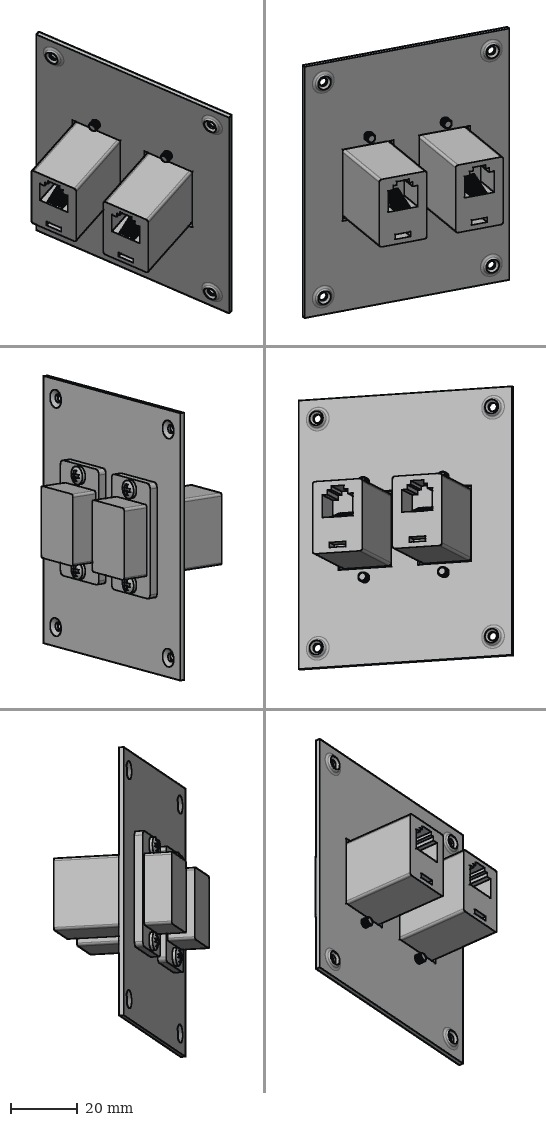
import cadquery as cq
import math


panel_width = 68.1
panel_height = 82.0
panel_thickness = 1.5
cutout_width = 17.0
cutout_height = 23.3

boss_x = 28.0
boss_z = 35.0
boss_height = 1.1
boss_rim_radius = 2.1
boss_foot_radius = 3.6
fillet_sweep = math.radians(45)
foot_fillet_radius = 1.2
boss_hole_radius = 1.3
boss_countersink_depth = 0.8
back_countersink_radius = 2.8
back_countersink_depth = 0.9

jack_pitch = 25.4
first_jack_x = -12.9
jack_centers_x = [first_jack_x, first_jack_x + jack_pitch]
jack_width = 15.8
jack_height = 22.1
jack_length = 36.8
jack_front_y = -24.2
jack_edge_radius = 0.8
flange_width = 19.1
flange_height = 35.45
flange_thickness = 2.6
flange_corner_radius = 1.5
flange_back_y = panel_thickness + flange_thickness

port_depth = 9.35
port_floor_z = -0.1
port_width = 9.8
port_shoulder_z = 6.8
port_neck_width = 6.4
port_neck_z = 8.2
port_latch_width = 4.1
port_top_z = 9.35

contact_count = 6
contact_pitch = 1.0
contact_width = 0.4
contact_height = 2.9
contact_setback = 0.65

slot_width = 5.2
slot_height = 1.55
slot_center_z = -8.6
slot_depth = 4.1

screw_pitch_z = 29.1
head_radius = 2.8
head_height = 2.05
head_rim_height = 1.1
recess_length = 3.3
recess_width = 1.0
recess_depth = 1.0
thread_radius = 1.435
thread_root_radius = 1.15
thread_pitch = 0.65
thread_half_pitches = 7


def bar(width, height, y_start, y_end):
    """Rectangular bar along Y, centred on the Y axis."""
    return cq.Workplane("XY").box(width, y_end - y_start, height).translate((0, (y_start + y_end) / 2, 0))


def rod(radius, y_start, y_end):
    """Round rod along Y, centred on the Y axis."""
    return cq.Workplane("XZ", origin=(0, y_end, 0)).circle(radius).extrude(y_end - y_start)


def turned(profile):
    """Turn a profile drawn as (radius, y) points about the Y axis."""
    return profile.close().revolve(360, (0, 0, 0), (0, 1, 0))


def make_boss():
    """Solid boss with a sloping flank that runs into the panel through a hollow fillet."""
    middle_angle = fillet_sweep / 2
    fillet_middle = (
        boss_foot_radius - foot_fillet_radius * math.sin(middle_angle),
        -foot_fillet_radius * (1 - math.cos(middle_angle)),
    )
    fillet_end = (
        boss_foot_radius - foot_fillet_radius * math.sin(fillet_sweep),
        -foot_fillet_radius * (1 - math.cos(fillet_sweep)),
    )
    profile = (
        cq.Workplane("XY")
        .moveTo(0, panel_thickness)
        .lineTo(boss_foot_radius, panel_thickness)
        .lineTo(boss_foot_radius, 0)
        .threePointArc(fillet_middle, fillet_end)
        .lineTo(boss_rim_radius, -boss_height)
        .lineTo(0, -boss_height)
    )
    return turned(profile)


def make_boss_hole():
    """Through hole that flares out to the rim of the boss and again to the back of the panel."""
    countersink_end_y = boss_countersink_depth - boss_height
    profile = (
        cq.Workplane("XY")
        .moveTo(0, -boss_height)
        .lineTo(boss_rim_radius, -boss_height)
        .lineTo(boss_hole_radius, countersink_end_y)
        .lineTo(boss_hole_radius, panel_thickness - back_countersink_depth)
        .lineTo(back_countersink_radius, panel_thickness)
        .lineTo(0, panel_thickness)
    )
    return turned(profile)


def make_panel():
    panel = bar(panel_width, panel_height, 0, panel_thickness)
    for x in (-boss_x, boss_x):
        for z in (-boss_z, boss_z):
            panel = panel.union(make_boss().translate((x, 0, z)))
            panel = panel.cut(make_boss_hole().translate((x, 0, z)))
    for x in jack_centers_x:
        panel = panel.cut(bar(cutout_width, cutout_height, 0, panel_thickness).translate((x, 0, 0)))
        for z in (-screw_pitch_z / 2, screw_pitch_z / 2):
            panel = panel.cut(rod(thread_radius, 0, panel_thickness).translate((x, 0, z)))
    return panel


def make_port():
    """Stepped plug opening, symmetric about the jack's centre plane."""
    right_half = [
        (port_width / 2, port_floor_z),
        (port_width / 2, port_shoulder_z),
        (port_neck_width / 2, port_shoulder_z),
        (port_neck_width / 2, port_neck_z),
        (port_latch_width / 2, port_neck_z),
        (port_latch_width / 2, port_top_z),
    ]
    left_half = [(-x, z) for x, z in reversed(right_half)]
    front = cq.Workplane("XZ", origin=(0, jack_front_y, 0))
    return front.polyline(right_half + left_half).close().extrude(-port_depth)


def make_contact(x):
    """Wedge that rises from just inside the front of the port floor to the port's back wall."""
    port_back_y = jack_front_y + port_depth
    return (
        cq.Workplane("YZ", origin=(x, 0, 0))
        .moveTo(jack_front_y + contact_setback, port_floor_z)
        .lineTo(port_back_y, port_floor_z)
        .lineTo(port_back_y, port_floor_z + contact_height)
        .close()
        .extrude(contact_width / 2, both=True)
    )


def make_jack():
    body = bar(jack_width, jack_height, jack_front_y, jack_front_y + jack_length)
    body = body.edges("|Y").fillet(jack_edge_radius)
    flange = bar(flange_width, flange_height, panel_thickness, flange_back_y)
    flange = flange.edges("|Y").fillet(flange_corner_radius)
    jack = body.union(flange).cut(make_port())

    for index in range(contact_count):
        jack = jack.union(make_contact((index - (contact_count - 1) / 2) * contact_pitch))

    slot = bar(slot_width, slot_height, jack_front_y, jack_front_y + slot_depth)
    jack = jack.cut(slot.translate((0, 0, slot_center_z)))

    for z in (-screw_pitch_z / 2, screw_pitch_z / 2):
        jack = jack.cut(rod(thread_radius, panel_thickness, flange_back_y).translate((0, 0, z)))
    return jack


def make_head():
    """Domed head with a cross recess, seated on the back of the flange."""
    rim_y = flange_back_y + head_rim_height
    top_y = flange_back_y + head_height
    dome_rise = top_y - rim_y
    dome_radius = (head_radius**2 + dome_rise**2) / (2 * dome_rise)
    middle_angle = math.asin(head_radius / dome_radius) / 2
    dome_middle = (
        dome_radius * math.sin(middle_angle),
        top_y - dome_radius * (1 - math.cos(middle_angle)),
    )
    profile = (
        cq.Workplane("XY")
        .moveTo(0, flange_back_y)
        .lineTo(head_radius, flange_back_y)
        .lineTo(head_radius, rim_y)
        .threePointArc(dome_middle, (0, top_y))
    )
    recess_y = top_y - recess_depth
    recess = bar(recess_length, recess_width, recess_y, top_y)
    recess = recess.union(bar(recess_width, recess_length, recess_y, top_y))
    return turned(profile).cut(recess)


def make_thread():
    """Exposed thread made of plain V grooves, from the panel's front face to the narrow tip."""
    profile = cq.Workplane("XY").moveTo(0, 0).lineTo(thread_radius, 0)
    for step in range(1, thread_half_pitches + 1):
        radius = thread_root_radius if step % 2 else thread_radius
        profile = profile.lineTo(radius, -step * thread_pitch / 2)
    return turned(profile.lineTo(0, -thread_half_pitches * thread_pitch / 2))


def make_screw():
    shank = rod(thread_radius, 0, flange_back_y)
    return make_head().union(shank).union(make_thread())


panel = make_panel()
jacks = [make_jack().translate((x, 0, 0)) for x in jack_centers_x]
screws = [
    make_screw().translate((x, 0, z))
    for x in jack_centers_x
    for z in (-screw_pitch_z / 2, screw_pitch_z / 2)
]

result = cq.Compound.makeCompound(
    [panel.val(), *[jack.val() for jack in jacks], *[screw.val() for screw in screws]]
)